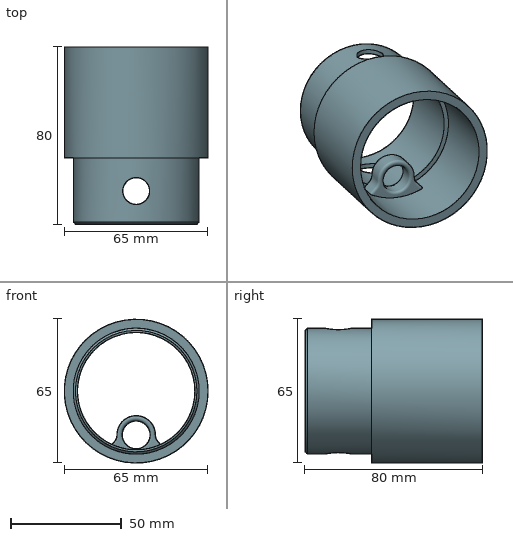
import cadquery as cq
import math

body_diameter = 65.0
spigot_diameter = 56.9
bore_diameter = 52.9
socket_diameter = 57.0
total_length = 80
spigot_length = 30.0
socket_depth = 40
spigot_chamfer = 1.0

cross_hole_diameter = 12
cross_hole_y = spigot_length / 2

eye_hole_diameter = 12.5
eye_wall = 2.5
eye_radius = eye_hole_diameter / 2 + eye_wall
eye_z = eye_radius - socket_diameter / 2
eye_edge_fillet = 1.2
flare_radius = 4.6
flare_angle = 45
eye_start = total_length - socket_depth
eye_end = total_length - spigot_length


def cylinder(diameter, start, end, z=0):
    """Solid cylinder along Y between two Y positions."""
    plane = cq.Plane(origin=(0, start, z), xDir=(1, 0, 0), normal=(0, 1, 0))
    return cq.Workplane(plane).circle(diameter / 2).extrude(end - start)


def make_sleeve():
    body = cylinder(body_diameter, spigot_length, total_length)
    spigot = cylinder(spigot_diameter, 0, spigot_length).faces("<Y").chamfer(spigot_chamfer)
    sleeve = body.union(spigot)
    sleeve = sleeve.cut(cylinder(bore_diameter, 0, total_length))
    sleeve = sleeve.cut(cylinder(socket_diameter, eye_start, total_length))
    cross_hole = (
        cq.Workplane("XY")
        .center(0, cross_hole_y)
        .circle(cross_hole_diameter / 2)
        .extrude(body_diameter, both=True)
    )
    return sleeve.cut(cross_hole)


def make_eye():
    """Round-topped eye whose sides flare outward into the socket wall."""
    base_z = -body_diameter / 2

    def flare_point(degrees):
        angle = math.radians(degrees)
        x = eye_radius + flare_radius * (1 - math.cos(angle))
        return x, eye_z - flare_radius * math.sin(angle)

    mid_x, mid_z = flare_point(flare_angle / 2)
    end_x, end_z = flare_point(flare_angle)
    base_x = end_x + (end_z - base_z) * math.tan(math.radians(flare_angle))

    eye = (
        cq.Workplane("XZ", origin=(0, eye_end, 0))
        .moveTo(-eye_radius, eye_z)
        .threePointArc((0, eye_z + eye_radius), (eye_radius, eye_z))
        .threePointArc((mid_x, mid_z), (end_x, end_z))
        .lineTo(base_x, base_z)
        .lineTo(-base_x, base_z)
        .lineTo(-end_x, end_z)
        .threePointArc((-mid_x, mid_z), (-eye_radius, eye_z))
        .close()
        .extrude(eye_end - eye_start)
    )
    eye = eye.cut(cylinder(eye_hole_diameter, eye_start, eye_end, eye_z))
    eye = eye.faces("<Y or >Y").fillet(eye_edge_fillet)

    trim_diameter = (socket_diameter + body_diameter) / 2
    return eye.intersect(cylinder(trim_diameter, eye_start, eye_end))


result = make_sleeve().union(make_eye())